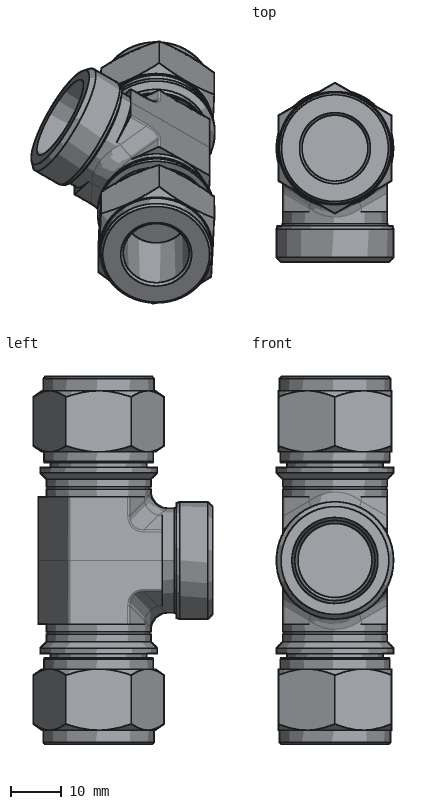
import cadquery as cq
import math

run_length = 72.2
half_run = run_length / 2

body_flats = 20.6
body_reach = 12.5
body_edge_fillet = 0.5
crotch_fillet = 3.2

neck_radius = body_flats / 2
groove_bottom = 14.0
groove_width = 0.4
groove_depth = 0.2
cone_bottom = 15.95
flange_bottom = 17.2
flange_top = 18.3
flange_radius = 23.0 / 2
gap_radius = 18.9 / 2
collar_bottom = 19.1
collar_radius = 21.5 / 2
collar_bevel_height = 0.3
collar_bevel_depth = 0.15

nut_flats = 22.25
nut_bottom = 21.3
nut_top = 33.3
nut_chamfer_angle = 35.0
cap_radius = 21.8 / 2
cap_chamfer = 0.4
tube_bore_radius = 12.9 / 2
tube_bore_depth = 18.05
tube_mouth_chamfer = 0.5

branch_reach = 22.4
thread_radius = 23.0 / 2
thread_start = 15.2
thread_chamfer = 0.95
thread_back_bevel_length = 0.65
thread_back_bevel_depth = 0.2
relief_start = 14.8
relief_radius = 10.5
branch_bore_radius = 14.5 / 2
branch_bore_depth = 14.45
branch_mouth_radius = 16.9 / 2
branch_taper_radius = 15.75 / 2
branch_taper_depth = 11.55
branch_seat_depth = 13.0

half_side = neck_radius * math.tan(math.radians(30))
tangent_x = neck_radius * math.sin(math.radians(30))
tangent_y = neck_radius * math.cos(math.radians(30))

pick_margin = 0.1
crotch_margin = 0.2
shortest_crotch_span = 0.35


def revolve_about_z(profile):
    """Solid of revolution from (radius, height) points."""
    return cq.Workplane("XZ").polyline(profile).close().revolve(360, (0, 0, 0), (0, 1, 0))


def point_branch(solid):
    """Turn a solid built along +Z so that it points toward -Y."""
    return solid.rotate((0, 0, 0), (1, 0, 0), 90)


def hexagon_prism(flats, height):
    """Hexagonal prism along +Z with flats facing +X and -X."""
    corner_diameter = 2 * flats / math.sqrt(3)
    return cq.Workplane("XY").transformed(rotate=(0, 0, 30)).polygon(6, corner_diameter).extrude(height)


def body_outline():
    """Front half of the body section: side flats, sloping flats and a corner rounded to the neck radius."""
    return (
        cq.Workplane("XY")
        .moveTo(neck_radius, 0)
        .lineTo(neck_radius, -half_side)
        .lineTo(tangent_x, -tangent_y)
        .threePointArc((0, -neck_radius), (-tangent_x, -tangent_y))
        .lineTo(-neck_radius, -half_side)
        .lineTo(-neck_radius, 0)
    )


def in_crotch(edge):
    """True for an edge where the run meets the branch."""
    middle = edge.Center()
    box = edge.BoundingBox()
    on_mitre = abs(middle.y + middle.z) < crotch_margin and middle.z > 0.7
    return on_mitre and min(box.ylen, box.zlen) > shortest_crotch_span


def is_long_flat_edge(edge):
    """True for an edge of a side flat that is not on the mid-plane or on an end face of the body."""
    middle = edge.Center()
    between_ends = pick_margin < middle.z < body_reach - pick_margin
    return between_ends and middle.y > pick_margin - body_reach


def make_upper_body():
    """Upper half of the forged body, with the crotch toward the branch rounded out."""
    run_prism = (
        body_outline()
        .lineTo(-neck_radius, half_side)
        .lineTo(0, 2 * half_side)
        .lineTo(neck_radius, half_side)
        .close()
        .extrude(body_reach)
    )
    branch_prism = body_outline().close().extrude(body_reach).rotate((0, 0, 0), (0, 0, 1), 180)
    run_neck = cq.Workplane("XY").circle(neck_radius).extrude(groove_bottom)
    branch_neck = cq.Workplane("XY").circle(neck_radius).extrude(relief_start)
    upper_space = cq.Workplane("XY").box(run_length, run_length, half_run, centered=(True, True, False))
    body = run_prism.union(point_branch(branch_prism)).union(run_neck)
    body = body.union(point_branch(branch_neck).intersect(upper_space))

    crotch_edges = [edge for edge in body.edges().vals() if in_crotch(edge)]
    body = body.newObject(crotch_edges).fillet(crotch_fillet)

    side_flats = body.faces("<X or >X").vals()
    flat_edges = [edge for face in side_flats for edge in face.Edges() if is_long_flat_edge(edge)]
    return body.newObject(flat_edges).fillet(body_edge_fillet)


def make_shoulder():
    """Groove, flange and collar between the body and the upper nut."""
    return revolve_about_z(
        [
            (0, groove_bottom),
            (neck_radius - groove_depth, groove_bottom),
            (neck_radius - groove_depth, groove_bottom + groove_width),
            (neck_radius, groove_bottom + groove_width),
            (neck_radius, cone_bottom),
            (flange_radius, flange_bottom),
            (flange_radius, flange_top),
            (gap_radius, flange_top),
            (gap_radius, collar_bottom),
            (collar_radius - collar_bevel_depth, collar_bottom),
            (collar_radius, collar_bottom + collar_bevel_height),
            (collar_radius, nut_bottom),
            (0, nut_bottom),
        ]
    )


def make_nut():
    """Upper hexagon nut with its corners chamfered at both ends."""
    flat_radius = nut_flats / 2
    corner_radius = nut_flats / math.sqrt(3)
    chamfer_height = (corner_radius - flat_radius) * math.tan(math.radians(nut_chamfer_angle))
    chamfered_blank = revolve_about_z(
        [
            (0, nut_bottom),
            (flat_radius, nut_bottom),
            (corner_radius, nut_bottom + chamfer_height),
            (corner_radius, nut_top - chamfer_height),
            (flat_radius, nut_top),
            (0, nut_top),
        ]
    )
    hexagon = hexagon_prism(nut_flats, nut_top - nut_bottom).translate((0, 0, nut_bottom))
    return hexagon.intersect(chamfered_blank)


def make_run_end():
    """Shoulder, nut and cap on the upper end of the run, with the tube bore."""
    cap = cq.Workplane("XY", origin=(0, 0, nut_top)).circle(cap_radius).extrude(half_run - nut_top)
    cap = cap.faces(">Z").chamfer(cap_chamfer)
    bore = revolve_about_z(
        [
            (0, half_run - tube_bore_depth),
            (tube_bore_radius, half_run - tube_bore_depth),
            (tube_bore_radius, half_run - tube_mouth_chamfer),
            (tube_bore_radius + tube_mouth_chamfer, half_run),
            (0, half_run),
        ]
    )
    return make_shoulder().union(make_nut()).union(cap).cut(bore)


def make_branch_thread():
    """Relief and plain thread cylinder of the branch."""
    profile = [
        (0, relief_start),
        (neck_radius, relief_start),
        (relief_radius, thread_start),
        (thread_radius - thread_back_bevel_depth, thread_start),
        (thread_radius, thread_start + thread_back_bevel_length),
        (thread_radius, branch_reach - thread_chamfer),
        (thread_radius - thread_chamfer, branch_reach),
        (0, branch_reach),
    ]
    return point_branch(revolve_about_z(profile))


def make_branch_bore():
    """Blind bore of the branch with its tapered mouth."""
    floor = branch_reach - branch_bore_depth
    profile = [
        (0, floor),
        (branch_bore_radius, floor),
        (branch_bore_radius, branch_reach - branch_seat_depth),
        (branch_taper_radius, branch_reach - branch_taper_depth),
        (branch_mouth_radius, branch_reach),
        (0, branch_reach),
    ]
    return point_branch(revolve_about_z(profile))


upper_half = make_upper_body().union(make_run_end())
both_halves = upper_half.union(upper_half.mirror("XY"), clean=False)
result = both_halves.union(make_branch_thread(), clean=False).cut(make_branch_bore(), clean=False)